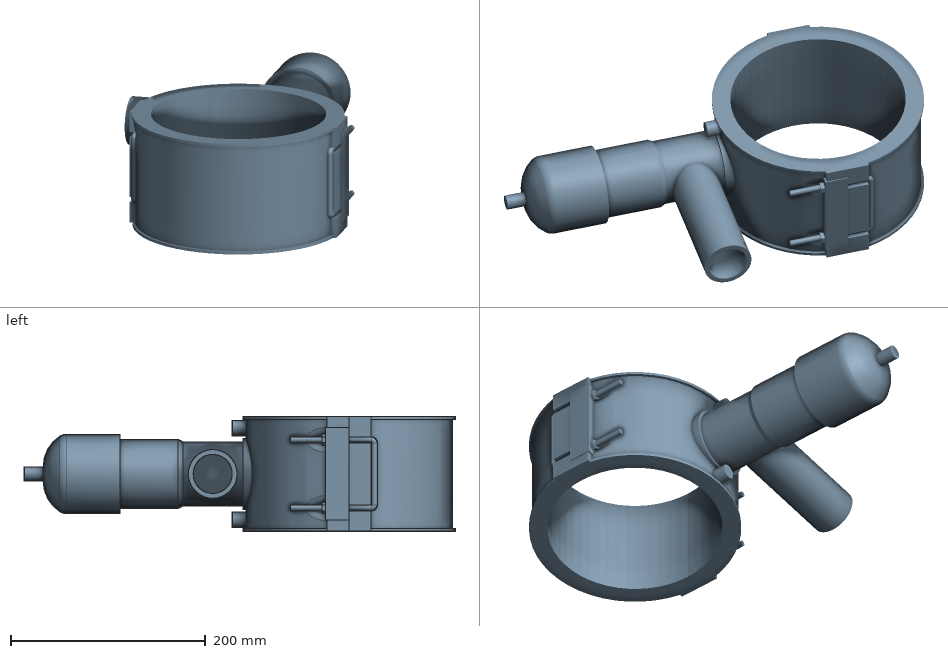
import cadquery as cq
import math

BORE_RADIUS = 90.0
WALL = 16.0
RING_RADIUS = BORE_RADIUS + WALL
HEIGHT = 118.0
RIM_RADIUS = 109.0
RIM_THICKNESS = 3.0

FLANGE_REACH = 110.0
FLANGE_THICKNESS = 22.5
PLATE_REACH = FLANGE_REACH + 1.0
PLATE_THICKNESS = 24.0
PLATE_HEIGHT = 95.0

BOLT_DIAMETER = 6.0
BOLT_X = 104.0
BOLT_Z = 35.0
BOLT_BAR_Y = -26.0
BOLT_BEND_RADIUS = 3.2
BOLT_END_Y = 60.0
NUT_FLATS = 10.0
NUT_THICKNESS = 4.0
NUT_POCKET_DIAMETER = 14.0
NUT_POCKET_ROUNDING = 10.0
NUT_POCKET_START_Y = 10.0
NUT_POCKET_END_Y = 65.0

ROOT_DIAMETER = 73.2
ROOT_END_Y = 109.0
NECK_DIAMETER = 0.9 * ROOT_DIAMETER
NECK_END_Y = 170.5
SLEEVE_DIAMETER = 70.76
SLEEVE_START_Y = 175.5
CAP_DIAMETER = ROOT_DIAMETER / 0.9
CAP_START_Y = 235.0
KNUCKLE_START_Y = 290.0
KNUCKLE_RADIUS = 13.0
DOME_TOP_Y = 314.0
TIP_DIAMETER = 0.2 * ROOT_DIAMETER
TOTAL_LENGTH = 442.46
TIP_END_Y = TOTAL_LENGTH - RIM_RADIUS

PIPE_DIAMETER = 50.0
PIPE_BORE = 40.0
PIPE_END_X = -152.0
PIPE_Y = 140.0
TERMINAL_DIAMETER = 16.0
TERMINAL_END_Y = 120.0
TERMINAL_Z = 47.0


def cylinder_y(diameter, start_y, end_y, x=0.0, z=0.0):
    """Cylinder along Y from start_y to end_y."""
    base = cq.Workplane(cq.Plane((x, start_y, z), (1, 0, 0), (0, 1, 0)))
    return base.circle(diameter / 2).extrude(end_y - start_y)


def box_between(x_range, y_range, height):
    """Box over the given X and Y ranges, centred on z = 0."""
    size_x = x_range[1] - x_range[0]
    size_y = y_range[1] - y_range[0]
    box = cq.Workplane("XY").box(size_x, size_y, height)
    return box.translate((sum(x_range) / 2, sum(y_range) / 2, 0))


def disc(radius, height, z=0.0):
    """Upright cylinder centred on height z."""
    return cq.Workplane("XY").circle(radius).extrude(height).translate((0, 0, z - height / 2))


def bore():
    """Pipe passage through both halves."""
    return disc(BORE_RADIUS, HEIGHT)


def half_space(side):
    """Block covering one side of the parting plane: side +1 is y > 0, -1 is y < 0."""
    return box_between((-RIM_RADIUS, RIM_RADIUS), sorted((0, side * RIM_RADIUS)), HEIGHT)


def bolt_places():
    """(x, z) of the four bolt legs."""
    return [(sx * BOLT_X, sz * BOLT_Z) for sx in (-1, 1) for sz in (-1, 1)]


def half_ring(side):
    """Half of the ring wall, without its bore."""
    return disc(RING_RADIUS, HEIGHT).intersect(half_space(side))


def rims_and_flanges(side):
    """End rims and the two bolting flanges of one half, without the bore."""
    rim_z = (HEIGHT - RIM_THICKNESS) / 2
    rims = disc(RIM_RADIUS, RIM_THICKNESS, rim_z).union(disc(RIM_RADIUS, RIM_THICKNESS, -rim_z))
    flange_y = sorted((0, side * FLANGE_THICKNESS))
    flanges = box_between((-FLANGE_REACH, FLANGE_REACH), flange_y, HEIGHT)
    return rims.intersect(half_space(side)).union(flanges)


def nut_pocket():
    """Material to remove for one nut: a hole along Y whose mouth in the ring wall is rounded."""
    block = box_between((0, RIM_RADIUS), (0, RIM_RADIUS), HEIGHT / 2).translate((0, 0, HEIGHT / 4))
    segment = half_ring(1).intersect(block)
    hole = cylinder_y(NUT_POCKET_DIAMETER, NUT_POCKET_START_Y, NUT_POCKET_END_Y, BOLT_X, BOLT_Z)
    mouth = cq.selectors.BoxSelector(
        (BORE_RADIUS, FLANGE_THICKNESS, BOLT_Z - NUT_POCKET_DIAMETER),
        (RIM_RADIUS, NUT_POCKET_END_Y, BOLT_Z + NUT_POCKET_DIAMETER),
    )
    rounded = segment.cut(hole).edges(mouth).fillet(NUT_POCKET_ROUNDING)
    return segment.cut(rounded)


def upper_wall():
    """Upper half of the ring wall with a pocket at each of the four nuts."""
    wall = half_ring(1)
    right_upper = nut_pocket()
    right_lower = right_upper.mirror("XY")
    for pocket in (right_upper, right_lower):
        wall = wall.cut(pocket).cut(pocket.mirror("YZ"))
    return wall


def branch():
    """Turned branch from the ring axis to the tip, revolved about Y."""
    cap_radius = CAP_DIAMETER / 2
    tip_radius = TIP_DIAMETER / 2

    rise = DOME_TOP_Y - KNUCKLE_START_Y
    knuckle_x = cap_radius - KNUCKLE_RADIUS
    run = knuckle_x - tip_radius
    dome_radius = (run**2 + rise**2 - KNUCKLE_RADIUS**2) / (2 * (rise - KNUCKLE_RADIUS))
    dome_y = DOME_TOP_Y - dome_radius
    tangent_angle = math.atan2(KNUCKLE_START_Y - dome_y, run)
    tangent_x = tip_radius + dome_radius * math.cos(tangent_angle)
    tangent_y = dome_y + dome_radius * math.sin(tangent_angle)

    profile = (
        cq.Workplane("XY")
        .lineTo(ROOT_DIAMETER / 2, 0)
        .lineTo(ROOT_DIAMETER / 2, ROOT_END_Y)
        .lineTo(NECK_DIAMETER / 2, ROOT_END_Y)
        .lineTo(NECK_DIAMETER / 2, NECK_END_Y)
        .lineTo(SLEEVE_DIAMETER / 2, SLEEVE_START_Y)
        .lineTo(SLEEVE_DIAMETER / 2, CAP_START_Y)
        .lineTo(cap_radius, CAP_START_Y)
        .lineTo(cap_radius, KNUCKLE_START_Y)
        .tangentArcPoint((tangent_x, tangent_y), relative=False)
        .tangentArcPoint((tip_radius, DOME_TOP_Y), relative=False)
        .lineTo(tip_radius, TIP_END_Y)
        .lineTo(0, TIP_END_Y)
        .close()
    )
    return profile.revolve(360, (0, 0, 0), (0, 1, 0))


def outlet_cylinder(diameter, inner_x):
    """Cylinder along X from the open end of the outlet pipe to inner_x."""
    end = cq.Workplane("YZ", origin=(PIPE_END_X, PIPE_Y, 0))
    return end.circle(diameter / 2).extrude(inner_x - PIPE_END_X)


def build_saddle():
    """Upper body: half ring with bolt holes, terminals, branch and outlet pipe."""
    body = upper_wall().union(rims_and_flanges(1))
    body = body.union(box_between((-PLATE_REACH, PLATE_REACH), (0, PLATE_THICKNESS), PLATE_HEIGHT))
    for x, z in bolt_places():
        body = body.cut(cylinder_y(BOLT_DIAMETER, 0, PLATE_THICKNESS, x, z))
    for z in (-TERMINAL_Z, TERMINAL_Z):
        body = body.union(cylinder_y(TERMINAL_DIAMETER, BORE_RADIUS, TERMINAL_END_Y, z=z))
    body = body.cut(bore())
    stem = branch().union(outlet_cylinder(PIPE_DIAMETER, 0))
    stem = stem.cut(outlet_cylinder(PIPE_BORE, -NECK_DIAMETER / 2)).cut(bore())
    return body.union(stem, clean=False)


def u_bolt(x):
    """U-bolt at the given X: two legs along Y joined by an upright bar."""
    mid_bend = BOLT_BEND_RADIUS * (1 - math.sqrt(0.5))
    bend_y = BOLT_BAR_Y + BOLT_BEND_RADIUS
    bend_z = BOLT_Z - BOLT_BEND_RADIUS
    path = (
        cq.Workplane("YZ", origin=(x, 0, 0))
        .moveTo(BOLT_END_Y, BOLT_Z)
        .lineTo(bend_y, BOLT_Z)
        .threePointArc((BOLT_BAR_Y + mid_bend, BOLT_Z - mid_bend), (BOLT_BAR_Y, bend_z))
        .lineTo(BOLT_BAR_Y, -bend_z)
        .threePointArc((BOLT_BAR_Y + mid_bend, mid_bend - BOLT_Z), (bend_y, -BOLT_Z))
        .lineTo(BOLT_END_Y, -BOLT_Z)
    )
    end = cq.Workplane("XZ", origin=(x, BOLT_END_Y, BOLT_Z))
    return end.circle(BOLT_DIAMETER / 2).sweep(path)


def nut(x, z):
    """Hexagon nut on a bolt leg, seated against the clamping plate."""
    seat = cq.Workplane(cq.Plane((x, PLATE_THICKNESS, z), (0, 0, 1), (0, 1, 0)))
    across_corners = NUT_FLATS / math.cos(math.pi / 6)
    return seat.polygon(6, across_corners).extrude(NUT_THICKNESS)


def build_strap():
    """Lower body: half ring with open bolt slots, carrying the U-bolts and their nuts."""
    body = half_ring(-1).union(rims_and_flanges(-1)).cut(bore())
    for x, z in bolt_places():
        edge_x = math.copysign(FLANGE_REACH, x)
        slot = box_between(sorted((x, edge_x)), (-FLANGE_THICKNESS, 0), BOLT_DIAMETER)
        body = body.cut(slot.translate((0, 0, z)))
    for side in (-1, 1):
        body = body.union(u_bolt(side * BOLT_X))
    for x, z in bolt_places():
        body = body.union(nut(x, z))
    return body


saddle = build_saddle()
strap = build_strap()
result = cq.Compound.makeCompound([*saddle.solids().vals(), *strap.solids().vals()])